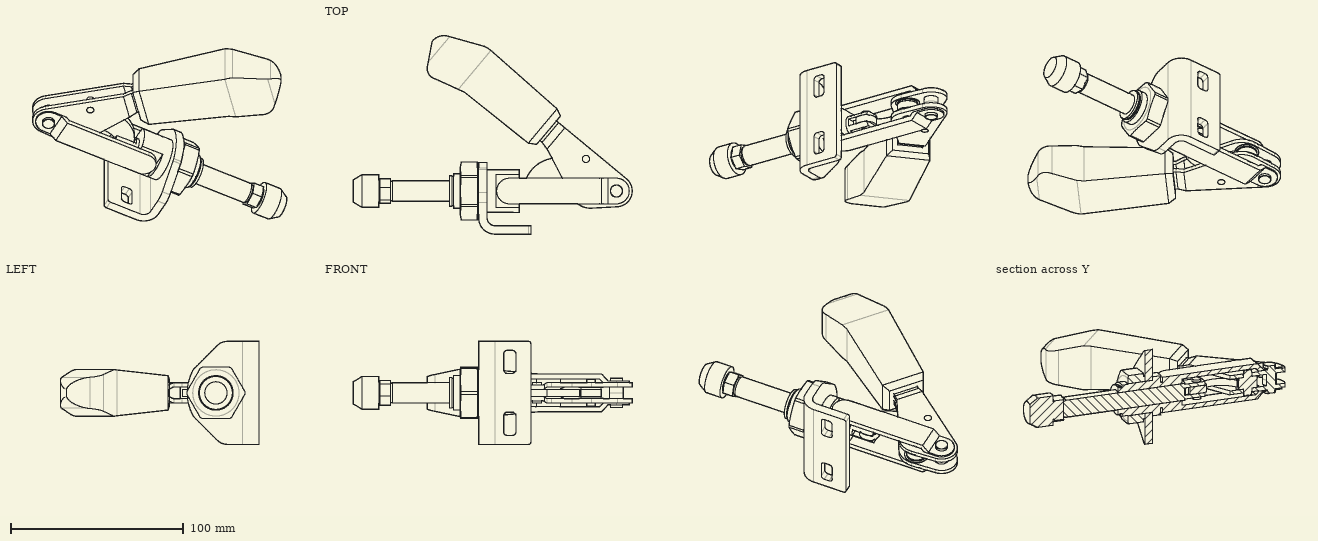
import cadquery as cq
import math


CAP_RADIUS = 9.5
CAP_TIP_RADIUS = 6.5
CAP_CONE_LENGTH = 5.0
CAP_LENGTH = 14.9
NECK_RADIUS = 6.2
NECK_LENGTH = 0.6
SPINDLE_HEX_FLATS = 13.0
SPINDLE_HEX_LENGTH = 6.2
SPINDLE_HEX_TURN = 15
SPINDLE_HEX_START = CAP_LENGTH + NECK_LENGTH
SPINDLE_END = SPINDLE_HEX_START + SPINDLE_HEX_LENGTH

ROD_RADIUS = 6.0
ROD_CHAMFER_LENGTH = 1.1
ROD_CHAMFER_DEPTH = 0.5
ROD_END = 111.0
ROD_EYE_HALF_WIDTH = 4.7
ROD_SLOT_START = 98.2

SHEET = 5.0
BRACKET_FRONT = 72.7
BRACKET_BACK = BRACKET_FRONT + SHEET
BRACKET_END = 103.2
BRACKET_BOTTOM = -25.1
BRACKET_TOP = 16.7
BRACKET_HALF_WIDTH = 30.0
BEND_RADIUS = 9.5
SHOULDER_Y = 13.1
SHOULDER_Z = 13.6
SHOULDER_FILLET = 4.9
CORNER_FILLET = 8.1
FOOT_CORNER_RADIUS = 1.5
SLOT_WIDTH = 7.0
SLOT_LENGTH = 13.3
SLOT_CORNER_RADIUS = 2.0
SLOT_X = 90.9
SLOT_Z = 18.0

NUT_FRONT = 62.0
WASHER_FACE_HEIGHT = 0.6
NUT_FLATS = 30.0
NUT_CORNER_RADIUS = 16.8
NUT_FACE_RADIUS = 13.5
NUT_CHAMFER_LENGTH = 0.6

SLEEVE_LIP_START = 55.9
SLEEVE_LIP_END = 57.3
SLEEVE_LIP_RADIUS = 8.9
SLEEVE_NECK_RADIUS = 8.5
THREAD_START = 58.3
THREAD_RADIUS = 10.0
BARREL_RADIUS = 12.5
BARREL_END = 96.4
FLAT_START = 83.0
ARM_INNER = 8.0
ARM_OUTER = 11.0
ARM_HALF_HEIGHT = 7.5
ARM_START = 83.3
ARM_INNER_BEND_X = 143.0
ARM_OUTER_BEND_X = 144.2
ARM_JOG_END = 147.9
ARM_TONGUE_OUTER = 7.0

PIVOT_X = 152.8
LEVER_TURN = 140
PLATE_INNER = 3.4
PLATE_OUTER = 6.0
PIVOT_END_RADIUS = 9.2
LOBE_X = 137.7
LOBE_Y = 2.0
LOBE_RADIUS = 12.0
WAIST_POINT = (41.5, 9.2)
NECK_START = (46.5, 7.3)
TANG_START = 51.2
TANG_EDGE_LOW = -8.7
TANG_EDGE_HIGH = 6.2
TANG_END = 68.0
TANG_INNER = 1.6
PIVOT_PIN_RADIUS = 3.5
PIVOT_PIN_HALF_LENGTH = 8.6
PIVOT_PIN_CHAMFER = 0.2
SPACER_RADIUS = 4.0
STOP_PIN_X = 135.1
STOP_PIN_Y = 18.6
STOP_PIN_RADIUS = 2.1
STOP_PIN_RECESS = 0.2

LINK_HALF_THICKNESS = 2.1
LINK_PIN_RADIUS = 2.6
PLUNGER_PIN_X = 106.6
PLUNGER_PIN_HALF_LENGTH = 6.0
LEVER_PIN_X = 138.0
LEVER_PIN_Y = -2.8
LEVER_PIN_HALF_LENGTH = 7.8
LINK_EYE_RADIUS = 6.0
COLLAR_RADIUS = 5.8
COLLAR_HALF_LENGTH = 3.0
WASHER_RADIUS = 7.0
ARCH_X = 118.6
ARCH_Y = -0.5
ARCH_RADIUS = 19.8
ARCH_FLOOR = -2.0
HOLLOW_X = 119.0
HOLLOW_Y = -8.1
HOLLOW_RADIUS = 13.8

GRIP_BASE = 52.8
GRIP_SHOULDER = 57.0
GRIP_CREST = 108.2
GRIP_CAP_START = 131.7
GRIP_END = 138.0
GRIP_BASE_HALF = 8.0
GRIP_SHOULDER_HALF = 10.0
GRIP_CREST_HALF = 13.6
GRIP_CAP_HALF = 8.9
GRIP_BASE_TOP = -12.5
GRIP_BASE_BOTTOM = 9.0
GRIP_SHOULDER_TOP = -14.4
GRIP_SHOULDER_BOTTOM = 11.7
GRIP_FINGER_CORNER = (104.3, 12.8)
GRIP_BACK_BEND = ((GRIP_CREST, -15.7), (110.5, -15.5), (112.8, -15.0))
GRIP_UPPER_TIP = ((133.2, -5.8), (136.9, -2.0), (137.7, 2.5))
GRIP_LOWER_TIP = ((130.9, 14.5), (128.3, 17.5), (122.5, 17.8))


def x_cylinder(radius, start, end):
    """Cylinder on the plunger axis between two X positions."""
    return cq.Workplane("YZ", origin=(start, 0, 0)).circle(radius).extrude(end - start)


def x_revolve(profile):
    """Turn a closed (x, radius) profile about the plunger axis."""
    return cq.Workplane("XY").polyline(profile).close().revolve(360, (0, 0, 0), (1, 0, 0))


def x_hexagon(flats, start, end, turn):
    """Hexagonal prism on the plunger axis."""
    corner_diameter = flats / math.cos(math.pi / 6)
    prism = cq.Workplane("YZ", origin=(start, 0, 0)).polygon(6, corner_diameter).extrude(end - start)
    return prism.rotate((0, 0, 0), (1, 0, 0), turn)


def z_cylinder(x, y, radius, half_length):
    """Cylinder along Z, centred on the XY plane."""
    return cq.Workplane("XY").center(x, y).circle(radius).extrude(half_length, both=True)


def slab(points, half_thickness):
    """Polygon in the XY plane, thickened equally to both sides."""
    return cq.Workplane("XY").polyline(points).close().extrude(half_thickness, both=True)


def both_sides(body):
    """Body together with its mirror image below the XY plane."""
    return body.union(body.mirror("XY"))


def to_lever_frame(x, y):
    """Convert a point of the assembly to the frame in which the lever is laid out."""
    angle = math.radians(LEVER_TURN)
    dx = x - PIVOT_X
    return (dx * math.cos(angle) + y * math.sin(angle), y * math.cos(angle) - dx * math.sin(angle))


def place_lever(body):
    """Turn a body laid out along the lever into place at the pivot."""
    return body.rotate((0, 0, 0), (0, 0, 1), LEVER_TURN).translate((PIVOT_X, 0, 0))


def outer_tangent(center_a, radius_a, center_b, radius_b):
    """Touch points of the tangent that has both circles on its right, going from a to b."""
    dx = center_b[0] - center_a[0]
    dy = center_b[1] - center_a[1]
    normal = math.atan2(dy, dx) + math.acos((radius_a - radius_b) / math.hypot(dx, dy))
    across = (math.cos(normal), math.sin(normal))
    touch_a = (center_a[0] + radius_a * across[0], center_a[1] + radius_a * across[1])
    touch_b = (center_b[0] + radius_b * across[0], center_b[1] + radius_b * across[1])
    return touch_a, touch_b


def make_spindle():
    cap = x_revolve([
        (0, 0),
        (0, CAP_TIP_RADIUS),
        (CAP_CONE_LENGTH, CAP_RADIUS),
        (CAP_LENGTH, CAP_RADIUS),
        (CAP_LENGTH, 0),
    ])
    neck = x_cylinder(NECK_RADIUS, CAP_LENGTH, SPINDLE_HEX_START)
    hexagon = x_hexagon(SPINDLE_HEX_FLATS, SPINDLE_HEX_START, SPINDLE_END, SPINDLE_HEX_TURN)
    return cap.union(neck).union(hexagon)


def make_rod():
    rod = x_revolve([
        (SPINDLE_END, 0),
        (SPINDLE_END, ROD_RADIUS - ROD_CHAMFER_DEPTH),
        (SPINDLE_END + ROD_CHAMFER_LENGTH, ROD_RADIUS),
        (ROD_END, ROD_RADIUS),
        (ROD_END, 0),
    ])
    fork_length = ROD_END - ROD_SLOT_START
    fork_x = ROD_SLOT_START + fork_length / 2
    cheek = ROD_RADIUS - ROD_EYE_HALF_WIDTH
    flat = cq.Workplane("XY").box(fork_length, 2 * ROD_RADIUS, cheek)
    flat = flat.translate((fork_x, 0, ROD_EYE_HALF_WIDTH + cheek / 2))
    slot = cq.Workplane("XY").box(fork_length, 2 * ROD_RADIUS, 2 * LINK_HALF_THICKNESS)
    slot = slot.translate((fork_x, 0, 0))
    cross_hole = z_cylinder(PLUNGER_PIN_X, 0, LINK_PIN_RADIUS, PLUNGER_PIN_HALF_LENGTH)
    return rod.cut(both_sides(flat)).cut(slot).cut(cross_hole)


def make_bracket():
    inner_bend = BEND_RADIUS - SHEET
    block = (
        cq.Workplane("XY")
        .moveTo(BRACKET_FRONT, BRACKET_TOP)
        .lineTo(BRACKET_FRONT, BRACKET_BOTTOM + BEND_RADIUS)
        .radiusArc((BRACKET_FRONT + BEND_RADIUS, BRACKET_BOTTOM), -BEND_RADIUS)
        .lineTo(BRACKET_END, BRACKET_BOTTOM)
        .lineTo(BRACKET_END, BRACKET_BOTTOM + SHEET)
        .lineTo(BRACKET_BACK + inner_bend, BRACKET_BOTTOM + SHEET)
        .radiusArc((BRACKET_BACK, BRACKET_BOTTOM + BEND_RADIUS), inner_bend)
        .lineTo(BRACKET_BACK, BRACKET_TOP)
        .close()
        .extrude(BRACKET_HALF_WIDTH, both=True)
    )
    block = block.edges("|Y and >X").fillet(FOOT_CORNER_RADIUS)
    corner_y = SHOULDER_Y - (BRACKET_HALF_WIDTH - SHOULDER_Z)
    outline = (
        cq.Workplane("YZ", origin=(BRACKET_FRONT, 0, 0))
        .moveTo(SHOULDER_Y, SHOULDER_Z)
        .threePointArc((BRACKET_TOP, 0), (SHOULDER_Y, -SHOULDER_Z))
        .lineTo(corner_y, -BRACKET_HALF_WIDTH)
        .lineTo(BRACKET_BOTTOM, -BRACKET_HALF_WIDTH)
        .lineTo(BRACKET_BOTTOM, BRACKET_HALF_WIDTH)
        .lineTo(corner_y, BRACKET_HALF_WIDTH)
        .close()
        .extrude(BRACKET_END - BRACKET_FRONT)
    )
    shoulder_edges = cq.selectors.BoxSelector(
        (BRACKET_FRONT, SHOULDER_Y - 1.6, -SHOULDER_Z - 1.6),
        (BRACKET_END, SHOULDER_Y + 1.6, SHOULDER_Z + 1.6),
    )
    corner_edges = cq.selectors.BoxSelector(
        (BRACKET_FRONT, corner_y - 1.6, -BRACKET_HALF_WIDTH - 1.6),
        (BRACKET_END, corner_y + 1.6, BRACKET_HALF_WIDTH + 1.6),
    )
    outline = outline.edges("|X").edges(shoulder_edges).fillet(SHOULDER_FILLET)
    outline = outline.edges("|X").edges(corner_edges).fillet(CORNER_FILLET)
    bracket = block.intersect(outline)
    slot = cq.Workplane("XY").box(SLOT_WIDTH, 2 * SHEET, SLOT_LENGTH)
    slot = slot.edges("|Y").fillet(SLOT_CORNER_RADIUS)
    for side in (-1, 1):
        bracket = bracket.cut(slot.translate((SLOT_X, BRACKET_BOTTOM + SHEET / 2, side * SLOT_Z)))
    return bracket.cut(x_cylinder(THREAD_RADIUS, BRACKET_FRONT, BRACKET_BACK))


def make_nut():
    hex_end = BRACKET_FRONT - WASHER_FACE_HEIGHT
    rounding = x_revolve([
        (NUT_FRONT, 0),
        (NUT_FRONT, NUT_FACE_RADIUS),
        (NUT_FRONT + NUT_CHAMFER_LENGTH, NUT_CORNER_RADIUS),
        (hex_end, NUT_CORNER_RADIUS),
        (hex_end, 0),
    ])
    nut = x_hexagon(NUT_FLATS, NUT_FRONT, hex_end, 0).intersect(rounding)
    nut = nut.union(x_cylinder(NUT_FACE_RADIUS, hex_end, BRACKET_FRONT))
    return nut.cut(x_cylinder(THREAD_RADIUS, NUT_FRONT, BRACKET_FRONT))


def make_arm():
    """Upper arm: a strip that jogs inward to a thin tongue on the lever plate."""
    arm_end = PIVOT_X + ARM_HALF_HEIGHT
    strip = (
        cq.Workplane("XZ")
        .polyline([
            (ARM_START, ARM_INNER),
            (ARM_INNER_BEND_X, ARM_INNER),
            (ARM_INNER_BEND_X + ARM_INNER - PLATE_OUTER, PLATE_OUTER),
            (arm_end, PLATE_OUTER),
            (arm_end, ARM_TONGUE_OUTER),
            (ARM_JOG_END, ARM_TONGUE_OUTER),
            (ARM_OUTER_BEND_X, ARM_OUTER),
            (ARM_START, ARM_OUTER),
        ])
        .close()
        .extrude(ARM_HALF_HEIGHT, both=True)
    )
    length = arm_end - ARM_START
    outline = (
        cq.Workplane("XY")
        .center(ARM_START + length / 2, 0)
        .slot2D(length, 2 * ARM_HALF_HEIGHT)
        .extrude(ARM_OUTER)
    )
    pin_hole = z_cylinder(PIVOT_X, 0, PIVOT_PIN_RADIUS, ARM_OUTER)
    return strip.intersect(outline).cut(pin_hole)


def make_housing():
    barrel = x_revolve([
        (SLEEVE_LIP_START, 0),
        (SLEEVE_LIP_START, SLEEVE_LIP_RADIUS),
        (SLEEVE_LIP_END, SLEEVE_LIP_RADIUS),
        (SLEEVE_LIP_END, SLEEVE_NECK_RADIUS),
        (THREAD_START, SLEEVE_NECK_RADIUS),
        (THREAD_START, THREAD_RADIUS),
        (BRACKET_BACK, THREAD_RADIUS),
        (BRACKET_BACK, BARREL_RADIUS),
        (BARREL_END, BARREL_RADIUS),
        (BARREL_END, 0),
    ])
    flat_depth = BARREL_RADIUS - ARM_INNER
    flat = cq.Workplane("XY").box(BARREL_END - FLAT_START, 2 * BARREL_RADIUS, flat_depth)
    flat = flat.translate(((FLAT_START + BARREL_END) / 2, 0, ARM_INNER + flat_depth / 2))
    bore = x_cylinder(ROD_RADIUS, SLEEVE_LIP_START, BARREL_END)
    arm = make_arm()
    return barrel.cut(both_sides(flat)).cut(bore).union(arm).union(arm.mirror("XY"))


def make_tang_section(start, end):
    """Side section of the upper lever plate with its inward jog, as a wide strip along the lever."""
    thickness = PLATE_OUTER - PLATE_INNER
    strip_half_width = 2 * LOBE_RADIUS
    return (
        cq.Workplane("XZ")
        .polyline([
            (start, PLATE_INNER),
            (NECK_START[0], PLATE_INNER),
            (TANG_START, TANG_INNER),
            (end, TANG_INNER),
            (end, TANG_INNER + thickness),
            (TANG_START, TANG_INNER + thickness),
            (NECK_START[0], PLATE_OUTER),
            (start, PLATE_OUTER),
        ])
        .close()
        .extrude(strip_half_width, both=True)
    )


def make_lever_plates():
    """Both plates, joined later by the spacer and the pins."""
    lobe = to_lever_frame(LOBE_X, LOBE_Y)
    link_pin = to_lever_frame(LEVER_PIN_X, LEVER_PIN_Y)
    pivot = (0, 0)
    lobe_to_pivot = outer_tangent(pivot, PIVOT_END_RADIUS, lobe, LOBE_RADIUS)
    waist_to_lobe = outer_tangent(lobe, LOBE_RADIUS, WAIST_POINT, 0)
    outline = slab(
        [
            (0, -PIVOT_END_RADIUS),
            (TANG_END, TANG_EDGE_LOW),
            (TANG_END, TANG_EDGE_HIGH),
            (TANG_START, TANG_EDGE_HIGH),
            NECK_START,
            WAIST_POINT,
            waist_to_lobe[0],
            lobe,
            lobe_to_pivot[1],
            lobe_to_pivot[0],
            pivot,
        ],
        PLATE_OUTER,
    )
    outline = outline.union(z_cylinder(0, 0, PIVOT_END_RADIUS, PLATE_OUTER))
    outline = outline.union(z_cylinder(*lobe, LOBE_RADIUS, PLATE_OUTER))
    section = make_tang_section(-PIVOT_END_RADIUS, TANG_END)
    plates = both_sides(section.intersect(outline))
    return plates.cut(z_cylinder(*link_pin, LINK_PIN_RADIUS, PLATE_OUTER))


def make_lever():
    plates = make_lever_plates()
    pivot_pin = z_cylinder(0, 0, PIVOT_PIN_RADIUS, PIVOT_PIN_HALF_LENGTH)
    pivot_pin = pivot_pin.faces("|Z").edges().chamfer(PIVOT_PIN_CHAMFER)
    spacer = z_cylinder(0, 0, SPACER_RADIUS, PLATE_INNER)
    stop_place = to_lever_frame(STOP_PIN_X, STOP_PIN_Y)
    stop_hole = z_cylinder(*stop_place, STOP_PIN_RADIUS, PLATE_OUTER)
    stop_pin = z_cylinder(*stop_place, STOP_PIN_RADIUS, PLATE_OUTER - STOP_PIN_RECESS)
    lever = plates.cut(stop_hole).union(stop_pin).union(spacer).union(pivot_pin)
    return place_lever(lever)


def make_link():
    disc = z_cylinder(ARCH_X, ARCH_Y, ARCH_RADIUS, LINK_HALF_THICKNESS)
    above_floor = cq.Workplane("XY").box(
        2 * ARCH_RADIUS, 2 * ARCH_RADIUS, 2 * LINK_HALF_THICKNESS, centered=(True, False, True)
    )
    link = disc.intersect(above_floor.translate((ARCH_X, ARCH_FLOOR, 0)))
    link = link.cut(z_cylinder(HOLLOW_X, HOLLOW_Y, HOLLOW_RADIUS, LINK_HALF_THICKNESS))
    link = link.union(z_cylinder(PLUNGER_PIN_X, 0, LINK_EYE_RADIUS, LINK_HALF_THICKNESS))
    link = link.union(z_cylinder(PLUNGER_PIN_X, 0, LINK_PIN_RADIUS, PLUNGER_PIN_HALF_LENGTH))
    link = link.union(z_cylinder(LEVER_PIN_X, LEVER_PIN_Y, LINK_EYE_RADIUS, LINK_HALF_THICKNESS))
    washers = z_cylinder(LEVER_PIN_X, LEVER_PIN_Y, WASHER_RADIUS, PLATE_INNER)
    gap = z_cylinder(LEVER_PIN_X, LEVER_PIN_Y, WASHER_RADIUS, COLLAR_HALF_LENGTH)
    collar = z_cylinder(LEVER_PIN_X, LEVER_PIN_Y, COLLAR_RADIUS, PLATE_INNER)
    link = link.union(washers.cut(gap)).union(collar)
    return link.union(z_cylinder(LEVER_PIN_X, LEVER_PIN_Y, LINK_PIN_RADIUS, LEVER_PIN_HALF_LENGTH))


def make_grip():
    plan = (
        cq.Workplane("XY")
        .moveTo(GRIP_BASE, GRIP_BASE_TOP)
        .lineTo(GRIP_SHOULDER, GRIP_SHOULDER_TOP)
        .lineTo(*GRIP_BACK_BEND[0])
        .threePointArc(*GRIP_BACK_BEND[1:])
        .lineTo(*GRIP_UPPER_TIP[0])
        .threePointArc(*GRIP_UPPER_TIP[1:])
        .lineTo(*GRIP_LOWER_TIP[0])
        .threePointArc(*GRIP_LOWER_TIP[1:])
        .lineTo(*GRIP_FINGER_CORNER)
        .lineTo(GRIP_SHOULDER, GRIP_SHOULDER_BOTTOM)
        .lineTo(GRIP_BASE, GRIP_BASE_BOTTOM)
        .close()
        .extrude(GRIP_CREST_HALF, both=True)
    )
    side_half_width = 2 * GRIP_CREST_HALF
    side = (
        cq.Workplane("XZ")
        .moveTo(GRIP_BASE, -GRIP_BASE_HALF)
        .lineTo(GRIP_SHOULDER, -GRIP_SHOULDER_HALF)
        .lineTo(GRIP_CREST, -GRIP_CREST_HALF)
        .lineTo(GRIP_CAP_START, -GRIP_CAP_HALF)
        .threePointArc((GRIP_END, 0), (GRIP_CAP_START, GRIP_CAP_HALF))
        .lineTo(GRIP_CREST, GRIP_CREST_HALF)
        .lineTo(GRIP_SHOULDER, GRIP_SHOULDER_HALF)
        .lineTo(GRIP_BASE, GRIP_BASE_HALF)
        .close()
        .extrude(side_half_width, both=True)
    )
    return place_lever(plan.intersect(side))


spindle = make_spindle()
rod = make_rod()
bracket = make_bracket()
nut = make_nut()
housing = make_housing()
lever = make_lever()
link = make_link()
grip = make_grip().cut(lever)

result = cq.Compound.makeCompound([
    spindle.val(),
    rod.val(),
    bracket.val(),
    nut.val(),
    housing.val(),
    lever.val(),
    link.val(),
    grip.val(),
])